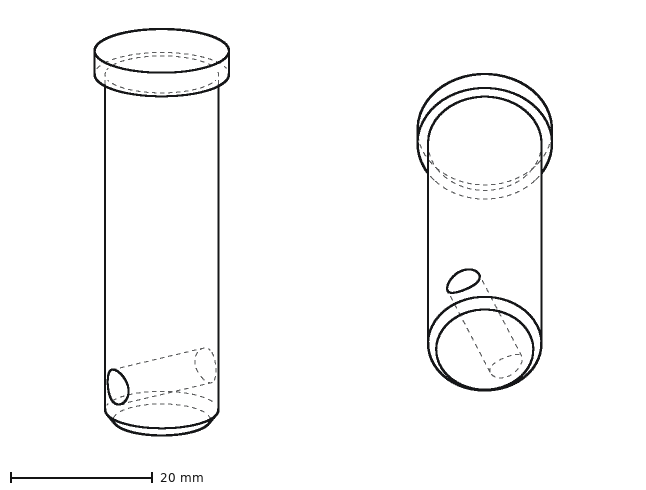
import cadquery as cq

total_length = 55.0
head_diameter = 19.0
head_height = 3.5
shank_diameter = 16.0

chamfer_height = 1.5
chamfer_width = 1.15

hole_diameter = 5.0
hole_height = 6.5
hole_overrun = 0.55

shank_length = total_length - head_height


def make_shank():
    """Revolved half profile of the shank with its chamfered lower end."""
    radius = shank_diameter / 2
    return (
        cq.Workplane("XZ")
        .lineTo(radius - chamfer_width, 0)
        .lineTo(radius, chamfer_height)
        .lineTo(radius, shank_length)
        .lineTo(0, shank_length)
        .close()
        .revolve(360, (0, 0), (0, 1))
    )


def make_head():
    """Flat disc on top of the shank."""
    return (
        cq.Workplane("XY")
        .workplane(offset=shank_length)
        .circle(head_diameter / 2)
        .extrude(head_height)
    )


def make_cross_hole():
    """Cutter that passes through the whole shank along Y."""
    return (
        cq.Workplane("XZ")
        .center(0, hole_height)
        .circle(hole_diameter / 2)
        .extrude(shank_diameter / 2 + hole_overrun, both=True)
    )


result = make_shank().union(make_head()).cut(make_cross_hole())